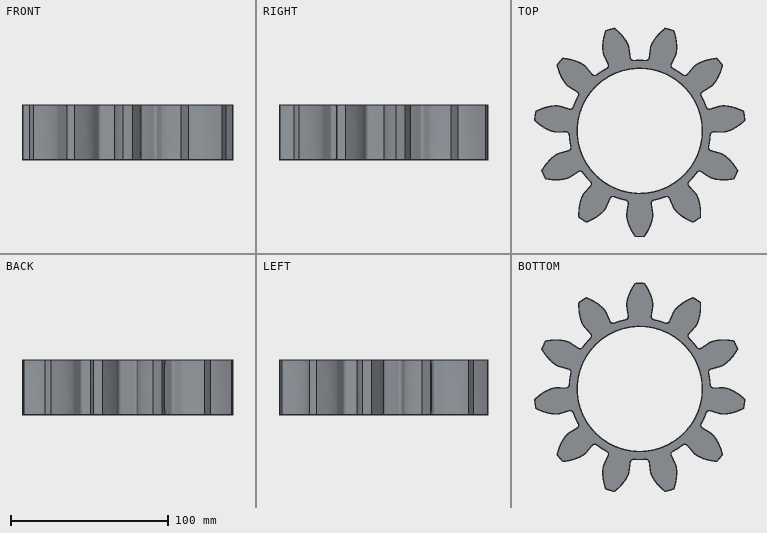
import cadquery as cq
import math

tooth_count = 11
module = 10.3
pressure_angle = math.radians(20)
overall_width = 133.7
face_width = 35.0
bore_radius = 39.7
root_radius = 44.9
root_fillet = 2.0
flank_points = 8
first_tooth_angle = -math.pi / 2


def involute(angle):
    """Polar angle an involute sweeps up to the given pressure angle."""
    return math.tan(angle) - angle


pitch_radius = module * tooth_count / 2
base_radius = pitch_radius * math.cos(pressure_angle)
tooth_pitch = 2 * math.pi / tooth_count
base_half_angle = tooth_pitch / 4 + involute(pressure_angle)


def half_angle(radius):
    """Half the angle a tooth spans at a radius on its involute flank."""
    return base_half_angle - involute(math.acos(base_radius / radius))


tip_radius = overall_width / 2
settling_passes = 20
for _ in range(settling_passes):
    corner_angle = tooth_pitch / 4 - half_angle(tip_radius)
    tip_radius = overall_width / 2 / math.cos(corner_angle)


def polar(radius, angle):
    """X, Y of a point given by radius and angle about the gear axis."""
    return (radius * math.cos(angle), radius * math.sin(angle))


def flank(axis_angle, side):
    """Involute points from the base circle to the tip; side is -1 or +1."""
    end_roll = math.sqrt((tip_radius / base_radius) ** 2 - 1)
    points = []
    for i in range(flank_points):
        roll = end_roll * i / (flank_points - 1)
        radius = base_radius * math.hypot(1, roll)
        points.append(polar(radius, axis_angle + side * half_angle(radius)))
    return points


def gear_outline():
    """Closed tooth outline: radial lower flanks, involutes, tip and root arcs."""
    start = polar(root_radius, first_tooth_angle - base_half_angle)
    outline = cq.Workplane("XY").moveTo(*start)
    for i in range(tooth_count):
        axis_angle = first_tooth_angle + i * tooth_pitch
        rising = flank(axis_angle, -1)
        falling = flank(axis_angle, 1)[::-1]
        outline = outline.lineTo(*rising[0])
        outline = outline.spline(rising[1:], includeCurrent=True)
        outline = outline.threePointArc(polar(tip_radius, axis_angle), falling[0])
        outline = outline.spline(falling[1:], includeCurrent=True)
        outline = outline.lineTo(*polar(root_radius, axis_angle + base_half_angle))
        root_middle = polar(root_radius, axis_angle + tooth_pitch / 2)
        next_root = polar(root_radius, axis_angle + tooth_pitch - base_half_angle)
        outline = outline.threePointArc(root_middle, next_root)
    return outline.close()


def round_roots(blank):
    """Fillet the corner on both sides of every tooth where it meets the root circle."""
    root_edges = []
    for i in range(tooth_count):
        for side in (-1, 1):
            edge_angle = first_tooth_angle + i * tooth_pitch + side * base_half_angle
            x, y = polar(root_radius, edge_angle)
            nearest = cq.NearestToPointSelector((x, y, face_width / 2))
            root_edges += blank.edges("|Z").edges(nearest).vals()
    return blank.newObject(root_edges).fillet(root_fillet)


gear = round_roots(gear_outline().extrude(face_width))

result = gear.cut(cq.Workplane("XY").circle(bore_radius).extrude(face_width))